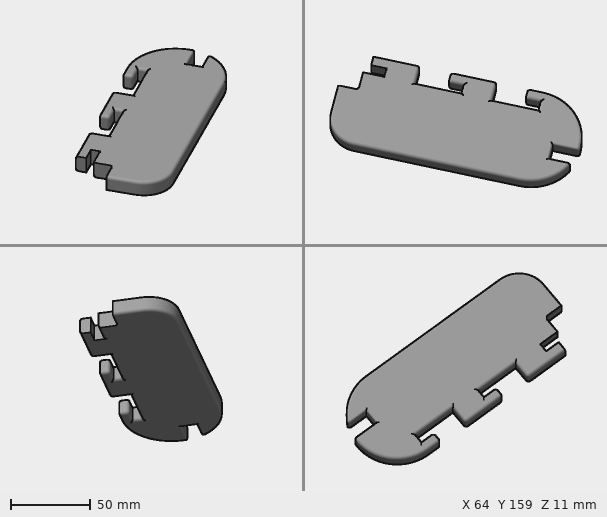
import cadquery as cq

length = 159.0
width = 64.0
thickness = 11.0
rim_radius = 2.0
top_radius = width / 2
bottom_corner_radius = 19.5

slot_left = 34.8
slot_width = 10.2
slot_floor_y = 141.5
slot_edge_radius = 1.3

hook_width = 7.0
upper_pocket_depth = 13.0
upper_pocket_bottom = 97.1
upper_pocket_top = 127.0
upper_hook_tip = 117.1
lower_pocket_depth = 12.5
lower_pocket_bottom = 47.2
lower_pocket_top = 77.0
lower_hook_tip = 67.2

leg_tip_y = 17.2
notch_top_y = 27.2
notch_right_x = upper_pocket_depth
step_y = 13.4
step_x = 25.6
step_radius = 2.0

margin = 1.6
pick_reach = 0.2


def block(x_min, x_max, y_min, y_max):
    """Cutter box through the whole thickness."""
    return (
        cq.Workplane("XY", origin=(0, 0, -margin))
        .moveTo((x_min + x_max) / 2, (y_min + y_max) / 2)
        .rect(x_max - x_min, y_max - y_min)
        .extrude(thickness + 2 * margin)
    )


def round_opening(body, bounds, inner_corners, radius):
    """Round every edge of the opening within bounds except its vertical inner corners."""
    x_min, x_max, y_min, y_max = bounds
    selector = cq.selectors.BoxSelector(
        (x_min - pick_reach, y_min - pick_reach, -margin),
        (x_max + pick_reach, y_max + pick_reach, thickness + margin),
    )
    for x, y in inner_corners:
        selector = selector - cq.selectors.NearestToPointSelector((x, y, thickness / 2))
    return body.edges(selector).fillet(radius)


def make_plate():
    """Plate with a semicircular +Y end, one rounded -Y corner and rounded rims."""
    shoulder_y = length - top_radius
    outline = (
        cq.Workplane("XY")
        .lineTo(width - bottom_corner_radius, 0)
        .radiusArc((width, bottom_corner_radius), -bottom_corner_radius)
        .lineTo(width, shoulder_y)
        .threePointArc((width / 2, length), (0, shoulder_y))
        .close()
    )
    return outline.extrude(thickness).faces("<Z or >Z").edges().fillet(rim_radius)


def cut_end_slot(body):
    """Open slot in the +Y end with all its outer edges rounded."""
    slot_right = slot_left + slot_width
    bounds = (slot_left, slot_right, slot_floor_y, length + margin)
    body = body.cut(block(*bounds))
    inner_corners = [(slot_left, slot_floor_y), (slot_right, slot_floor_y)]
    return round_opening(body, bounds, inner_corners, slot_edge_radius)


def cut_hook_pocket(body, depth, bottom_y, tip_y, top_y):
    """Side pocket that runs up behind a hook, with its outer edges rounded."""
    cutter = block(-margin, depth, bottom_y, tip_y).union(block(hook_width, depth, bottom_y, top_y))
    body = body.cut(cutter)
    bounds = (-margin, depth, bottom_y, top_y)
    inner_corners = [(depth, bottom_y), (depth, top_y), (hook_width, top_y)]
    return round_opening(body, bounds, inner_corners, rim_radius)


def cut_corner(body):
    """Leg, notch and step left sharp, except the step's inner corner and one lower notch edge."""
    step = block(-margin, step_x, -margin, step_y).edges("|Z and >X and >Y").fillet(step_radius)
    leg_end = block(-margin, notch_right_x, -margin, leg_tip_y)
    notch = block(hook_width, notch_right_x, -margin, notch_top_y)
    body = body.cut(step).cut(leg_end).cut(notch)
    lower_notch_edge = cq.selectors.NearestToPointSelector(
        (notch_right_x, (step_y + notch_top_y) / 2, 0)
    )
    return body.edges(lower_notch_edge).fillet(rim_radius)


result = make_plate()
result = cut_end_slot(result)
result = cut_hook_pocket(result, upper_pocket_depth, upper_pocket_bottom, upper_hook_tip, upper_pocket_top)
result = cut_hook_pocket(result, lower_pocket_depth, lower_pocket_bottom, lower_hook_tip, lower_pocket_top)
result = cut_corner(result)